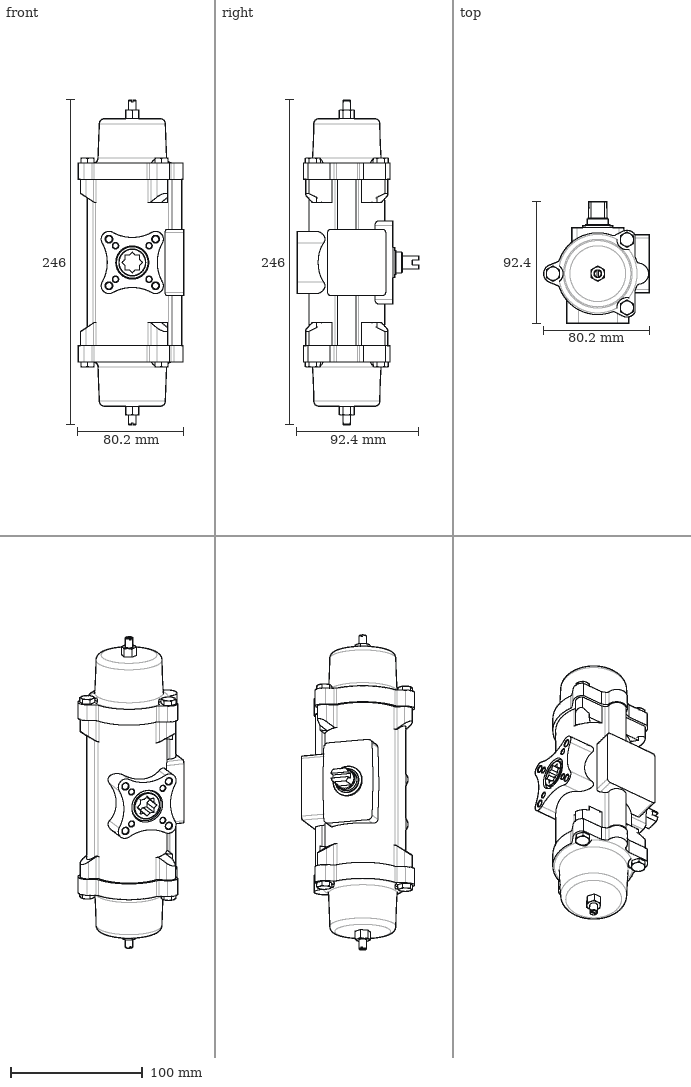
import cadquery as cq
import math


sleeve_radius = 28.8
rail_offset = 29.0
rail_radius = 5.2
lobe_offset = 30.5
lobe_radius = 7.1

flange_bottom = 63.0
flange_top = 75.5
flange_radius = 31.0
flange_lobe_radius = 8.0
root_fillet = 2.5
tolerance = 0.02

bolt_circle_radius = 34.0
bolt_angles = (180, 49.4, -49.4)
side_angles = bolt_angles[1:]
flange_lug_radius = 7.1
flange_lug_flare = 22
flange_flat_x = 28.3
sleeve_lug_radius = 5.5
sleeve_lug_flare = 12
sleeve_flat_x = 26.5
lug_root = 19.7
lug_tip_z = 52.5
lug_base_z = 45.5

hex_flats = 10.0
hex_chamfer_angle = 30
bolt_head_height = 3.7
spotface_radius = 7.6
nut_top = 115.7
screw_diameter = 6.0
screw_chamfer = 0.5
screw_slot_width = 1.0
screw_slot_depth = 1.2
half_length = 123

cap_base_radius = 26.0
cap_top_radius = 25.0
cap_top = 109.0
cap_top_fillet = 4.0
cap_base_fillet = 3.7

mount_face_y = -37.7
outer_hole_circle = 50.0
inner_hole_circle = 36.0
mount_corner_radius = 6.0
mount_waist = 19.0
outer_hole_diameter = 5
inner_hole_diameter = 4.2
outer_hole_mouth = 6.0
inner_hole_mouth = 5
mount_hole_depth = 9.8
recess_diameter = 25.0
recess_floor_diameter = 24.0
recess_depth = 1.5

pad_face_y = 35.0
pad_half_width = 20.0
pad_half_height = 31.5
pad_bulge = 0.7
pad_fillet = 3.5
seat_diameter = 23.0
seat_height = 1.5

port_face_x = 39.1
port_back_y = 29.5
port_front_y = -14.5
port_half_height = 25.0
port_fillet = 2.5

shaft_diameter = 20.5
shaft_end_diameter = 20.0
neck_diameter = 18.5
shoulder_y = pad_face_y - 5
neck_end_y = 37.5
journal_diameter = 16.0
journal_end_y = 42.0
journal_chamfer = 0.7
tang_diameter = 14.3
tang_flats = 10.0
tang_end_y = 54.7
tang_slot_width = 3.7
tang_slot_depth = 5
socket_flats = 11.0
socket_depth = 14.8


def cylinder_z(radius, bottom, top, x=0, y=0):
    return cq.Workplane(origin=(x, y, bottom)).circle(radius).extrude(top - bottom)


def cylinder_y(diameter, start, end, x=0, z=0):
    plane = cq.Plane(origin=(x, start, z), xDir=(1, 0, 0), normal=(0, 1, 0))
    return cq.Workplane(plane).circle(diameter / 2).extrude(end - start)


def taper_y(start_diameter, end_diameter, start, end, x=0, z=0):
    axis_point = cq.Vector(x, start, z)
    return cq.Solid.makeCone(start_diameter / 2, end_diameter / 2, end - start, axis_point, cq.Vector(0, 1, 0))


def box_between(x_range, y_range, z_range):
    size = [high - low for low, high in (x_range, y_range, z_range)]
    corner = (x_range[0], y_range[0], z_range[0])
    return cq.Workplane(origin=corner).box(*size, centered=False)


def turned(shape, angle):
    return shape.rotate((0, 0, 0), (0, 0, 1), angle)


def bolt_position(angle):
    turn = math.radians(angle)
    return bolt_circle_radius * math.cos(turn), bolt_circle_radius * math.sin(turn)


def bolt_lug(radius, flare, bottom, top, angle):
    """A round lug around one bolt, with straight walls that spread toward the cylinder axis."""
    spread = math.radians(flare)
    tangent_x = bolt_circle_radius + radius * math.sin(spread)
    tangent_y = radius * math.cos(spread)
    root_y = tangent_y + (tangent_x - lug_root) * math.tan(spread)
    walls = (
        cq.Workplane(origin=(0, 0, bottom))
        .moveTo(lug_root, -root_y)
        .lineTo(tangent_x, -tangent_y)
        .threePointArc((bolt_circle_radius + radius, 0), (tangent_x, tangent_y))
        .lineTo(lug_root, root_y)
        .close()
        .extrude(top - bottom)
    )
    return turned(walls, angle)


def rounded_ridge(offset, radius, bottom, top):
    """A straight ridge from the cylinder axis along X, rounded at its outer end."""
    x_range = sorted((0, offset))
    ridge = box_between(x_range, (-radius, radius), (bottom, top))
    return ridge.union(cylinder_z(radius, bottom, top, x=offset))


def fillet_roots(shape, root_distance):
    """Fillet the vertical edges where lugs and ridges leave a disc centred on the cylinder axis."""

    def at_root(edge):
        center = edge.Center()
        return abs(math.hypot(center.x, center.y) - root_distance) < tolerance

    return shape.edges("|Z").filter(at_root).fillet(root_fillet)


def lugged_disc(disc_radius, disc_lobe_radius, lug_radius, flare, flat_x, bottom, top):
    """A disc with the lobe and the bolt lugs, filled out to a flat between the lobe and the side lugs."""
    reach = bolt_circle_radius + lug_radius
    bolt_y = bolt_position(side_angles[0])[1]
    lugs = cylinder_z(disc_radius, bottom, top)
    for angle in bolt_angles:
        lugs = lugs.union(bolt_lug(lug_radius, flare, bottom, top, angle))
    lugs = lugs.intersect(box_between((-reach, flat_x), (-reach, reach), (bottom, top)))
    disc = cylinder_z(disc_radius, bottom, top).union(lugs)
    disc = fillet_roots(disc.union(rounded_ridge(lobe_offset, disc_lobe_radius, bottom, top)), disc_radius)
    return disc.union(box_between((0, flat_x), (-bolt_y, bolt_y), (bottom, top)))


def make_sleeve():
    sleeve = cylinder_z(sleeve_radius, -flange_bottom, flange_bottom)
    rail = rounded_ridge(-rail_offset, rail_radius, -flange_bottom, flange_bottom)
    lobe = rounded_ridge(lobe_offset, lobe_radius, -flange_bottom, flange_bottom)
    return fillet_roots(sleeve.union(rail).union(lobe), sleeve_radius)


def make_sleeve_lugs():
    """Lugs below the upper flange, with undersides that slope down toward the sleeve."""
    lugs = lugged_disc(
        sleeve_radius, lobe_radius, sleeve_lug_radius, sleeve_lug_flare, sleeve_flat_x, lug_base_z, flange_bottom
    )
    tip = bolt_circle_radius + sleeve_lug_radius
    envelope = (
        cq.Workplane("XZ")
        .moveTo(0, lug_base_z)
        .lineTo(sleeve_radius, lug_base_z)
        .lineTo(tip, lug_tip_z)
        .lineTo(tip, flange_bottom)
        .lineTo(0, flange_bottom)
        .close()
        .extrude(tip, both=True)
    )
    allowed = turned(envelope, bolt_angles[0])
    for angle in side_angles:
        allowed = allowed.union(turned(envelope, angle))
    return lugs.intersect(allowed)


def make_flange():
    return lugged_disc(
        flange_radius,
        flange_lobe_radius,
        flange_lug_radius,
        flange_lug_flare,
        flange_flat_x,
        flange_bottom,
        flange_top,
    )


def make_cap():
    """A domed cap whose flared foot is cut back around each bolt head."""
    quarter = math.sqrt(0.5)
    foot_z = flange_top + cap_base_fillet
    foot_center = cap_base_radius + cap_base_fillet
    rim_z = cap_top - cap_top_fillet
    rim_center = cap_top_radius - cap_top_fillet
    cap = (
        cq.Workplane("XZ")
        .moveTo(0, flange_top)
        .lineTo(foot_center, flange_top)
        .threePointArc(
            (foot_center - cap_base_fillet * quarter, foot_z - cap_base_fillet * quarter),
            (cap_base_radius, foot_z),
        )
        .lineTo(cap_top_radius, rim_z)
        .threePointArc(
            (rim_center + cap_top_fillet * quarter, rim_z + cap_top_fillet * quarter),
            (rim_center, cap_top),
        )
        .lineTo(0, cap_top)
        .close()
        .revolve(360, (0, 0, 0), (0, 1, 0))
    )
    for angle in bolt_angles:
        x, y = bolt_position(angle)
        cap = cap.cut(cylinder_z(spotface_radius, flange_top, foot_z, x, y))
    return cap


def hex_head(bottom, top, x=0, y=0):
    """A hexagon with corners along Y and its top corners chamfered by a cone."""
    across_corners = hex_flats / math.cos(math.pi / 6)
    corner_radius = across_corners / 2
    drop = (corner_radius - hex_flats / 2) * math.tan(math.radians(hex_chamfer_angle))
    prism = cq.Workplane(origin=(x, y, bottom)).transformed(rotate=(0, 0, 90))
    prism = prism.polygon(6, across_corners).extrude(top - bottom)
    round_blank = cylinder_z(corner_radius, bottom, top, x, y)
    round_blank = round_blank.faces(">Z").chamfer(drop, corner_radius - hex_flats / 2)
    return prism.intersect(round_blank)


def make_stop_screw():
    screw = cylinder_z(screw_diameter / 2, cap_top, half_length).faces(">Z").chamfer(screw_chamfer)
    half_slot = screw_slot_width / 2
    slot_z = (half_length - screw_slot_depth, half_length)
    return screw.cut(box_between((-half_slot, half_slot), (-screw_diameter, screw_diameter), slot_z))


def make_end_group():
    """Everything at the upper end; the lower end is its mirror image."""
    group = make_flange().union(make_cap()).union(make_sleeve_lugs())
    for angle in bolt_angles:
        group = group.union(hex_head(flange_top, flange_top + bolt_head_height, *bolt_position(angle)))
    return group.union(hex_head(cap_top, nut_top)).union(make_stop_screw())


def make_mount():
    """A four-cornered flange: round corners joined by concave arcs tangent to them."""
    corner = outer_hole_circle / 2 * math.sqrt(0.5)
    gap = mount_waist - corner
    waist_radius = (corner**2 + gap**2 - mount_corner_radius**2) / (2 * (mount_corner_radius - gap))
    waist_center = mount_waist + waist_radius
    ratio = mount_corner_radius / (mount_corner_radius + waist_radius)
    tangent_side = corner * (1 - ratio)
    tangent_out = corner + (waist_center - corner) * ratio
    corner_tip = corner + mount_corner_radius * math.sqrt(0.5)

    outline = cq.Workplane("XZ").moveTo(-tangent_side, tangent_out)
    for quarter_turn in range(4):
        turn = -math.pi / 2 * quarter_turn

        def placed(x, z, cos=math.cos(turn), sin=math.sin(turn)):
            return x * cos - z * sin, x * sin + z * cos

        outline = outline.threePointArc(placed(0, mount_waist), placed(tangent_side, tangent_out))
        outline = outline.threePointArc(placed(corner_tip, corner_tip), placed(tangent_out, tangent_side))
    return outline.close().extrude(-mount_face_y)


def mount_holes():
    """Two rings of four blind holes with countersunk mouths."""
    holes = cq.Workplane()
    rings = (
        (outer_hole_circle, outer_hole_diameter, outer_hole_mouth),
        (inner_hole_circle, inner_hole_diameter, inner_hole_mouth),
    )
    for circle, diameter, mouth in rings:
        offset = circle / 2 * math.sqrt(0.5)
        mouth_end_y = mount_face_y + (mouth - diameter) / 2
        for x in (-offset, offset):
            for z in (-offset, offset):
                holes = holes.add(cylinder_y(diameter, mount_face_y, mount_face_y + mount_hole_depth, x, z))
                holes = holes.add(taper_y(mouth, diameter, mount_face_y, mouth_end_y, x, z))
    return holes


def make_indicator_pad():
    """A pad with rounded corners, slightly bowed sides and a raised round seat for the shaft."""
    side = pad_half_width - pad_bulge
    pad = (
        cq.Workplane("XZ")
        .moveTo(-side, -pad_half_height)
        .lineTo(side, -pad_half_height)
        .threePointArc((pad_half_width, 0), (side, pad_half_height))
        .lineTo(-side, pad_half_height)
        .threePointArc((-pad_half_width, 0), (-side, -pad_half_height))
        .close()
        .extrude(-pad_face_y)
        .edges("|Y")
        .fillet(pad_fillet)
    )
    return pad.union(cylinder_y(seat_diameter, 0, pad_face_y + seat_height))


def make_port_block():
    heights = (-port_half_height, port_half_height)
    block = box_between((0, port_face_x), (port_front_y, port_back_y), heights)
    return block.edges("|X").fillet(port_fillet)


def make_housing():
    housing = make_sleeve().union(make_mount()).union(make_indicator_pad()).union(make_port_block())
    end_group = make_end_group()
    housing = housing.union(end_group).union(end_group.mirror("XY"))
    for hole in mount_holes().vals():
        housing = housing.cut(cq.Workplane(hole))
    recess = taper_y(recess_diameter, recess_floor_diameter, mount_face_y, mount_face_y + recess_depth)
    shaft_bore = cylinder_y(shaft_diameter, mount_face_y, shoulder_y)
    neck_bore = cylinder_y(neck_diameter, shoulder_y, pad_face_y + seat_height)
    return housing.cut(cq.Workplane(recess)).cut(shaft_bore).cut(neck_bore)


def make_tang():
    """The driven end: two flats facing up and down, and a slot across the tip."""
    tang = cylinder_y(tang_diameter, journal_end_y, tang_end_y)
    tang = tang.intersect(
        box_between(
            (-tang_diameter, tang_diameter), (journal_end_y, tang_end_y), (-tang_flats / 2, tang_flats / 2)
        )
    )
    half_slot = tang_slot_width / 2
    slot_y = (tang_end_y - tang_slot_depth, tang_end_y)
    return tang.cut(box_between((-tang_diameter, tang_diameter), slot_y, (-half_slot, half_slot)))


def make_shaft():
    end_chamfer = (shaft_diameter - shaft_end_diameter) / 2
    shaft = cylinder_y(shaft_diameter, mount_face_y, shoulder_y).faces("<Y").chamfer(end_chamfer)
    shaft = shaft.union(cylinder_y(neck_diameter, shoulder_y, neck_end_y))
    journal = cylinder_y(journal_diameter, neck_end_y, journal_end_y).faces(">Y").chamfer(journal_chamfer)
    shaft = shaft.union(journal).union(make_tang())
    socket = cq.Workplane("XZ", origin=(0, mount_face_y, 0)).rect(socket_flats, socket_flats).extrude(-socket_depth)
    return shaft.cut(socket).cut(socket.rotate((0, 0, 0), (0, 1, 0), 45))


housing = make_housing()
shaft = make_shaft()

result = cq.Compound.makeCompound([housing.val(), shaft.val()])